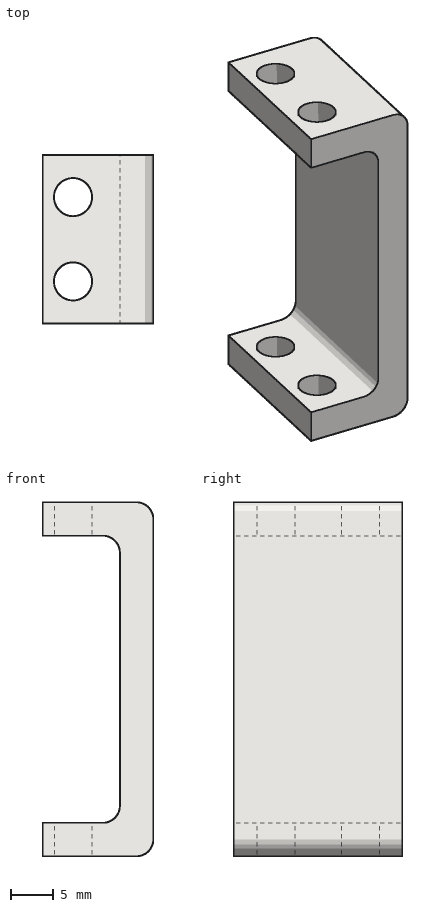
import cadquery as cq

depth = 13.15
width = 20.0
height = 42.0
thickness = 4.0
bend_radius = 2.0

hole_diameter = 4.5
hole_spacing = 10.0
hole_from_free_edge = 3.6

block = cq.Workplane("XY").box(depth, width, height).edges("|Y and >X").fillet(bend_radius)

opening = (
    cq.Workplane("XY")
    .box(depth - thickness, width, height - 2 * thickness)
    .edges("|Y and >X")
    .fillet(bend_radius)
    .translate((-thickness / 2, 0, 0))
)

hole_x = hole_from_free_edge - depth / 2
drills = (
    cq.Workplane("XY")
    .pushPoints([(hole_x, -hole_spacing / 2), (hole_x, hole_spacing / 2)])
    .circle(hole_diameter / 2)
    .extrude(height / 2, both=True)
)

result = block.cut(opening).cut(drills)